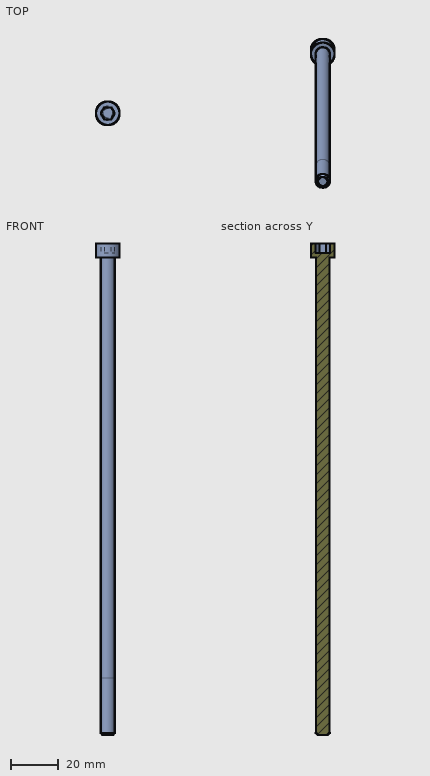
import cadquery as cq
import math

head_diameter = 10.0
head_height = 6.0
shank_diameter = 6.0
shank_length = 200.0
thread_length = 24.0

tip_chamfer = 1.0

socket_across_flats = 5.05
socket_depth = 4.0

thread_start_z = thread_length - shank_length
socket_across_corners = socket_across_flats / math.cos(math.pi / 6)


def make_cylinder(diameter, bottom_z, height):
    """Round bar on the Z axis, standing on bottom_z."""
    return cq.Workplane("XY").workplane(offset=bottom_z).circle(diameter / 2).extrude(height)


def make_threaded_end():
    """Plain cylinder in place of the thread, with a chamfered tip."""
    bar = make_cylinder(shank_diameter, -shank_length, thread_length)
    return bar.faces("<Z").chamfer(tip_chamfer)


def make_socket():
    """Flat-bottomed hexagonal recess cut down from the top of the head."""
    return (
        cq.Workplane("XY")
        .workplane(offset=head_height)
        .polygon(6, socket_across_corners)
        .extrude(-socket_depth)
    )


head = make_cylinder(head_diameter, 0, head_height).cut(make_socket())
plain_shank = make_cylinder(shank_diameter, thread_start_z, -thread_start_z)

result = head.union(plain_shank).union(make_threaded_end(), clean=False)